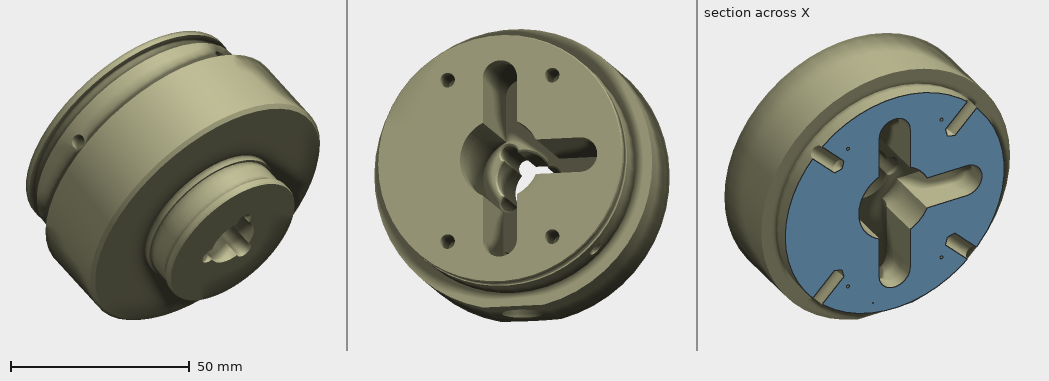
import cadquery as cq
import math

total_length = 50.0
shoulder_x = 16.0
hub_start_x = 38.0
groove_start_x = 2.0
groove_end_x = 5.4

body_diameter = 80.0
spigot_diameter = 70.5
groove_diameter = 66.3
hub_rim_diameter = 43.5
hub_diameter = 42.0

hub_rim_width = 2.0
body_chamfer = 1.0
spigot_chamfer_length = 0.5
spigot_chamfer_depth = 0.2
hub_chamfer_length = 0.5
hub_chamfer_depth = 0.2
groove_fillet = 0.5

flat_distance = 39.0

bore_diameter = 22.95
slot_width = 9.8
slot_reach = 28.0
recess_depth = 28.0

through_diameter = 15.0
lobe_diameter = 4.95
lobe_circle_radius = 8.0
lobe_count = 3
first_lobe_angle = 180
through_chamfer = 0.5

cross_hole_diameter = 11.4
cross_hole_x = (shoulder_x + hub_start_x) / 2

pin_diameter = 4.15
pin_depth = 10.0
drill_point_angle = 118.0
face_pin_y = 15.0
face_pin_z = 23.0
radial_pin_x = 11.0
radial_pin_angles = (45, 135, 225, 315)


def make_body():
    """Turned outline of spigot, body and hub, revolved about X."""
    spigot_r = spigot_diameter / 2
    groove_r = groove_diameter / 2
    body_r = body_diameter / 2
    rim_r = hub_rim_diameter / 2
    hub_r = hub_diameter / 2
    arc_shift = groove_fillet * (1 - math.sqrt(0.5))
    outline = (
        cq.Workplane("XY")
        .lineTo(0, spigot_r - spigot_chamfer_depth)
        .lineTo(spigot_chamfer_length, spigot_r)
        .lineTo(groove_start_x, spigot_r)
        .lineTo(groove_start_x, groove_r + groove_fillet)
        .threePointArc(
            (groove_start_x + arc_shift, groove_r + arc_shift),
            (groove_start_x + groove_fillet, groove_r),
        )
        .lineTo(groove_end_x - groove_fillet, groove_r)
        .threePointArc(
            (groove_end_x - arc_shift, groove_r + arc_shift),
            (groove_end_x, groove_r + groove_fillet),
        )
        .lineTo(groove_end_x, spigot_r)
        .lineTo(shoulder_x, spigot_r)
        .lineTo(shoulder_x, body_r)
        .lineTo(hub_start_x - body_chamfer, body_r)
        .lineTo(hub_start_x, body_r - body_chamfer)
        .lineTo(hub_start_x, rim_r)
        .lineTo(hub_start_x + hub_rim_width, rim_r)
        .lineTo(hub_start_x + hub_rim_width, hub_r)
        .lineTo(total_length - hub_rim_width, hub_r)
        .lineTo(total_length - hub_rim_width, rim_r)
        .lineTo(total_length - hub_chamfer_length, rim_r)
        .lineTo(total_length, rim_r - hub_chamfer_depth)
        .lineTo(total_length, 0)
        .close()
    )
    return outline.revolve(360, (0, 0, 0), (1, 0, 0))


def flat_cutter():
    """Block that leaves a flat on the underside of the body."""
    depth = body_diameter / 2 - flat_distance
    block = cq.Workplane("XY").box(total_length, body_diameter, depth, centered=(False, True, False))
    return block.translate((0, 0, -body_diameter / 2))


def recess_cutter():
    """Round bore joined by slots towards +Z, -Z and -Y."""
    slot_r = slot_width / 2
    straight = slot_reach - slot_r
    cutter = cq.Workplane("YZ").circle(bore_diameter / 2).extrude(recess_depth)
    upright = cq.Workplane("YZ").slot2D(2 * slot_reach, slot_width, 90).extrude(recess_depth)
    side_bar = cq.Workplane("YZ").center(-straight / 2, 0).rect(straight, slot_width).extrude(recess_depth)
    side_end = cq.Workplane("YZ").center(-straight, 0).circle(slot_r).extrude(recess_depth)
    return cutter.union(upright).union(side_bar).union(side_end)


def through_hole_cutter():
    """Three-lobed hole through the floor, chamfered where it meets the recess."""

    def chamfered_cutter(diameter, y, z):
        hole = cq.Workplane("YZ", origin=(0, y, z)).circle(diameter / 2).extrude(total_length)
        cone = cq.Solid.makeCone(
            diameter / 2 + through_chamfer,
            diameter / 2,
            through_chamfer,
            cq.Vector(recess_depth, y, z),
            cq.Vector(1, 0, 0),
        )
        return hole.union(cq.Workplane(cone))

    cutter = chamfered_cutter(through_diameter, 0, 0)
    for index in range(lobe_count):
        angle = math.radians(first_lobe_angle + index * 360 / lobe_count)
        y = lobe_circle_radius * math.cos(angle)
        z = lobe_circle_radius * math.sin(angle)
        cutter = cutter.union(chamfered_cutter(lobe_diameter, y, z))
    return cutter


def cross_hole_cutter():
    """Hole along Z into the bore; below the recess floor it stops at the hub's rim diameter."""
    hole = (
        cq.Workplane("XY", origin=(cross_hole_x, 0, -flat_distance))
        .circle(cross_hole_diameter / 2)
        .extrude(flat_distance)
    )
    hub_core = (
        cq.Workplane("YZ", origin=(recess_depth, 0, 0))
        .circle(hub_rim_diameter / 2)
        .extrude(total_length - recess_depth)
    )
    return hole.cut(hub_core)


def pin_hole(start, direction):
    """Blind hole with a drill point."""
    radius = pin_diameter / 2
    point_length = radius / math.tan(math.radians(drill_point_angle / 2))
    bore = cq.Solid.makeCylinder(radius, pin_depth, start, direction)
    point = cq.Solid.makeCone(radius, 0, point_length, start + direction * pin_depth, direction)
    return cq.Workplane(bore.fuse(point))


result = make_body()
for cutter in (flat_cutter(), recess_cutter(), through_hole_cutter(), cross_hole_cutter()):
    result = result.cut(cutter)

for y_side in (-1, 1):
    for z_side in (-1, 1):
        start = cq.Vector(0, y_side * face_pin_y, z_side * face_pin_z)
        result = result.cut(pin_hole(start, cq.Vector(1, 0, 0)))

for angle in radial_pin_angles:
    outward = cq.Vector(0, math.cos(math.radians(angle)), math.sin(math.radians(angle)))
    start = cq.Vector(radial_pin_x, 0, 0) + outward * (spigot_diameter / 2)
    result = result.cut(pin_hole(start, -outward))